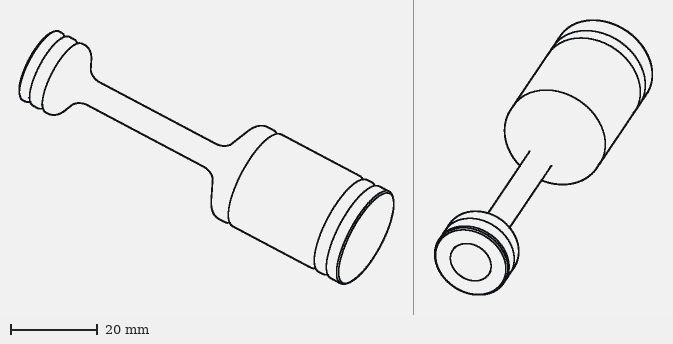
import cadquery as cq
import math

LENGTH = 90.0
ROD_RADIUS = 6.0 / 2
SMALL_HEAD_RADIUS = 18.0 / 2
LARGE_HEAD_RADIUS = 24.0 / 2
END_CHAMFER = 0.4

SMALL_SHOULDER_X = 7.4
LARGE_SHOULDER_X = 56.2

CONE_ANGLE = math.radians(60)
SHOULDER_RADIUS = 2.0
FLARE_RADIUS = 5.0

SMALL_GROOVE_RADIUS = 15.6 / 2
LARGE_GROOVE_RADIUS = 21.6 / 2
GROOVE_WIDTH = 1.8
GROOVE_EDGE_RADIUS = 0.2
SMALL_GROOVE_STARTS = [1.3, 4.8]
LARGE_GROOVE_STARTS = [58.0, 81.6, 85.0]

BORE_RADIUS = 10.0 / 2
BORE_DEPTH = 8.0
BORE_FLOOR_FILLET = 0.45


def shoulder_points(head_radius, shoulder_x, direction):
    """Points from head to rod: arc start, middle, end, then flare start, middle, end.

    direction is +1 when the rod lies on the +X side of the head, otherwise -1.
    """
    def on_rounding(angle):
        x = shoulder_x + direction * SHOULDER_RADIUS * math.sin(angle)
        return x, head_radius - SHOULDER_RADIUS * (1 - math.cos(angle))

    cone_top_x, cone_top_radius = on_rounding(CONE_ANGLE)
    cone_base_radius = ROD_RADIUS + FLARE_RADIUS * (1 - math.cos(CONE_ANGLE))
    cone_length = (cone_top_radius - cone_base_radius) / math.tan(CONE_ANGLE)
    flare_length = FLARE_RADIUS * math.sin(CONE_ANGLE)
    rod_x = cone_top_x + direction * (cone_length + flare_length)

    def on_flare(angle):
        x = rod_x - direction * FLARE_RADIUS * math.sin(angle)
        return x, ROD_RADIUS + FLARE_RADIUS * (1 - math.cos(angle))

    rounding = [on_rounding(CONE_ANGLE * part) for part in (0, 0.5, 1)]
    flare = [on_flare(CONE_ANGLE * part) for part in (1, 0.5, 0)]
    return rounding + flare


def make_body():
    """Both heads and the rod, without grooves or bore."""
    small = shoulder_points(SMALL_HEAD_RADIUS, SMALL_SHOULDER_X, 1)
    large = shoulder_points(LARGE_HEAD_RADIUS, LARGE_SHOULDER_X, -1)[::-1]
    profile = (
        cq.Workplane("XY")
        .moveTo(0, 0)
        .lineTo(0, SMALL_HEAD_RADIUS - END_CHAMFER)
        .lineTo(END_CHAMFER, SMALL_HEAD_RADIUS)
    )
    for points in (small, large):
        profile = (
            profile.lineTo(*points[0])
            .threePointArc(points[1], points[2])
            .lineTo(*points[3])
            .threePointArc(points[4], points[5])
        )
    profile = (
        profile.lineTo(LENGTH - END_CHAMFER, LARGE_HEAD_RADIUS)
        .lineTo(LENGTH, LARGE_HEAD_RADIUS - END_CHAMFER)
        .lineTo(LENGTH, 0)
        .close()
    )
    return profile.revolve(360, (0, 0, 0), (1, 0, 0))


def make_groove(start_x, floor_radius, rim_radius):
    """Ring cutter with rounded floor corners and rounded rims."""
    edge = GROOVE_EDGE_RADIUS
    bulge = edge * (1 - math.sqrt(0.5))
    end_x = start_x + GROOVE_WIDTH
    return (
        cq.Workplane("XY")
        .moveTo(start_x - edge, rim_radius)
        .threePointArc((start_x - bulge, rim_radius - bulge), (start_x, rim_radius - edge))
        .lineTo(start_x, floor_radius + edge)
        .threePointArc((start_x + bulge, floor_radius + bulge), (start_x + edge, floor_radius))
        .lineTo(end_x - edge, floor_radius)
        .threePointArc((end_x - bulge, floor_radius + bulge), (end_x, floor_radius + edge))
        .lineTo(end_x, rim_radius - edge)
        .threePointArc((end_x + bulge, rim_radius - bulge), (end_x + edge, rim_radius))
        .close()
        .revolve(360, (0, 0, 0), (1, 0, 0))
    )


def make_bore():
    """Blind bore cutter with a rounded floor edge."""
    return (
        cq.Workplane("YZ")
        .circle(BORE_RADIUS)
        .extrude(BORE_DEPTH)
        .faces(">X")
        .edges()
        .fillet(BORE_FLOOR_FILLET)
    )


result = make_body().cut(make_bore())
for groove_x in SMALL_GROOVE_STARTS:
    result = result.cut(make_groove(groove_x, SMALL_GROOVE_RADIUS, SMALL_HEAD_RADIUS))
for groove_x in LARGE_GROOVE_STARTS:
    result = result.cut(make_groove(groove_x, LARGE_GROOVE_RADIUS, LARGE_HEAD_RADIUS))